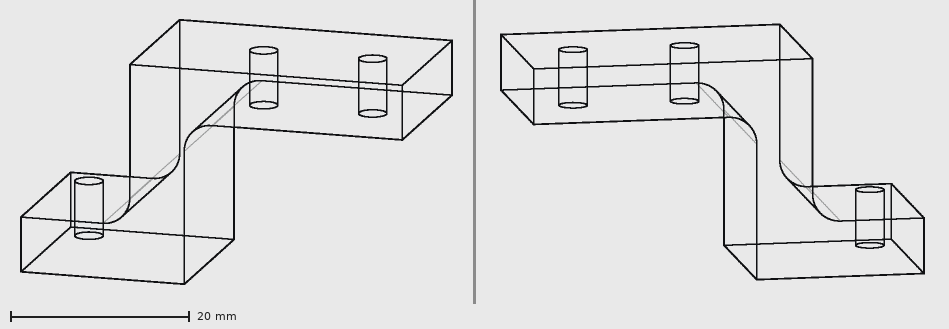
import cadquery as cq

length = 44.45
width = 20.0
height = 25.0

thickness = 6.35
inner_radius = thickness / 2

web_start = 2 * thickness
web_end = web_start + thickness

hole_diameter = 3.175
foot_hole_inset = 3.0
upper_hole_positions = [4 * thickness, 6 * thickness]


def bracket_body():
    """Z profile in the XZ plane, extruded along +Y, with both inner corners rounded."""
    profile = [
        (0, 0),
        (web_end, 0),
        (web_end, height - thickness),
        (length, height - thickness),
        (length, height),
        (web_start, height),
        (web_start, thickness),
        (0, thickness),
    ]
    body = cq.Workplane("XZ").polyline(profile).close().extrude(-width)
    foot_corner = cq.selectors.NearestToPointSelector((web_start, width / 2, thickness))
    plate_corner = cq.selectors.NearestToPointSelector((web_end, width / 2, height - thickness))
    return body.edges(foot_corner + plate_corner).fillet(inner_radius)


def vertical_hole(x, y):
    """Cutter that passes through the full height at one place."""
    return cq.Workplane("XY").center(x, y).circle(hole_diameter / 2).extrude(height)


result = bracket_body()

result = result.cut(vertical_hole(foot_hole_inset, width - foot_hole_inset))

for hole_x in upper_hole_positions:
    result = result.cut(vertical_hole(hole_x, width / 2))